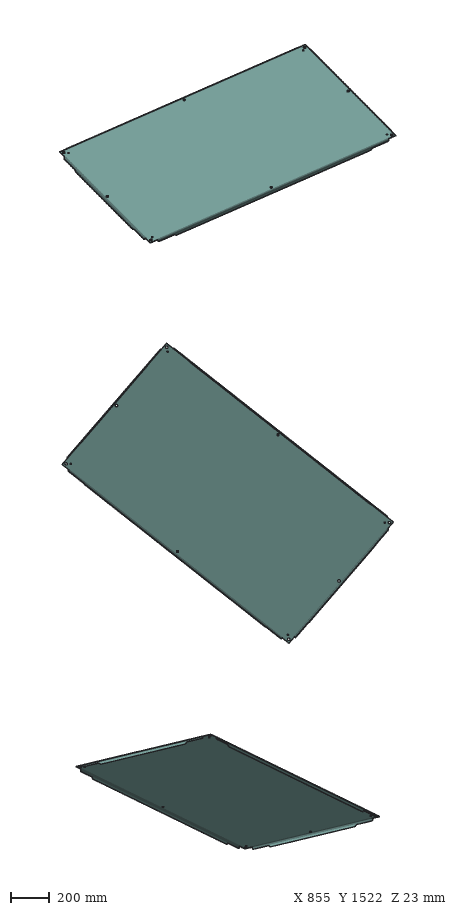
import cadquery as cq

width = 855.0
length = 1522.0
height = 23.0
sheet = 3.0
bend_radius = 6.0
corner_setback = 5.0

flange_start = 50.0
step_start = 152.0
step_height = 9.0
end_chamfer = 5.0

mount_diameter = 12.6
pilot_diameter = 7.2
mount_inset_x = 21.0
mount_inset_y = 20.0
pilot_inset_x = 37.0
pilot_inset_y = 38.0
countersink_angle = 90


def bent_channel(span, run):
    """Sheet bent down along both long edges: span across X, run along Y."""
    def bent_bar(bar_span, bar_height, radius):
        bar = cq.Workplane("XY").box(bar_span, run, bar_height, centered=(True, True, False))
        return bar.edges("|Y and >Z").fillet(radius).translate((0, 0, -height))

    outer = bent_bar(span, height, bend_radius)
    inner = bent_bar(span - 2 * sheet, height - sheet, bend_radius - sheet)
    return outer.cut(inner)


def flange_outline(span, run):
    """Solid that trims the flange ends: a stepped outline along Y, drawn through X."""
    end = run / 2 - flange_start
    step = run / 2 - step_start
    step_z = step_height - height
    half = [
        (end, 0),
        (end, step_z + end_chamfer),
        (end - end_chamfer, step_z),
        (step, step_z),
        (step - step_height, -height),
    ]
    mirrored = [(-y, z) for y, z in reversed(half)]
    return cq.Workplane("YZ").polyline(half + mirrored).close().extrude(span / 2, both=True)


def flanged_sheet(span, run):
    """Bent sheet with its flange ends trimmed to the stepped outline."""
    return bent_channel(span, run).intersect(flange_outline(span, run))


def corner_plates():
    """Flat sheet filling the four corners beyond the flange ends."""
    side = flange_start - corner_setback
    offset = corner_setback + side / 2
    corner_x = width / 2 - offset
    corner_y = length / 2 - offset
    return (
        cq.Workplane("XY")
        .rect(2 * corner_x, 2 * corner_y, forConstruction=True)
        .vertices()
        .rect(side, side)
        .extrude(-sheet)
    )


side_flanges = flanged_sheet(width, length)
end_flanges = flanged_sheet(length, width).rotate((0, 0, 0), (0, 0, 1), 90)
panel = (
    cq.Workplane("XY")
    .rect(width - 2 * bend_radius, length - 2 * bend_radius)
    .extrude(-sheet)
)
body = panel.union(side_flanges).union(end_flanges).union(corner_plates())

mount_x = width / 2 - mount_inset_x
mount_y = length / 2 - mount_inset_y
pilot_x = width / 2 - pilot_inset_x
pilot_y = length / 2 - pilot_inset_y
mount_points = [(x, y) for x in (-mount_x, 0, mount_x) for y in (-mount_y, mount_y)]
pilot_points = [(x, y) for x in (-pilot_x, pilot_x) for y in (-pilot_y, pilot_y)]
side_points = [(-mount_x, 0), (mount_x, 0)]

panel_top = cq.Workplane("XY")
mount_holes = panel_top.pushPoints(mount_points).circle(mount_diameter / 2).extrude(-sheet)
pilot_holes = panel_top.pushPoints(pilot_points).circle(pilot_diameter / 2).extrude(-sheet)

result = (
    body.cut(mount_holes)
    .cut(pilot_holes)
    .copyWorkplane(panel_top)
    .pushPoints(side_points)
    .cskHole(pilot_diameter, mount_diameter, countersink_angle, depth=sheet)
)